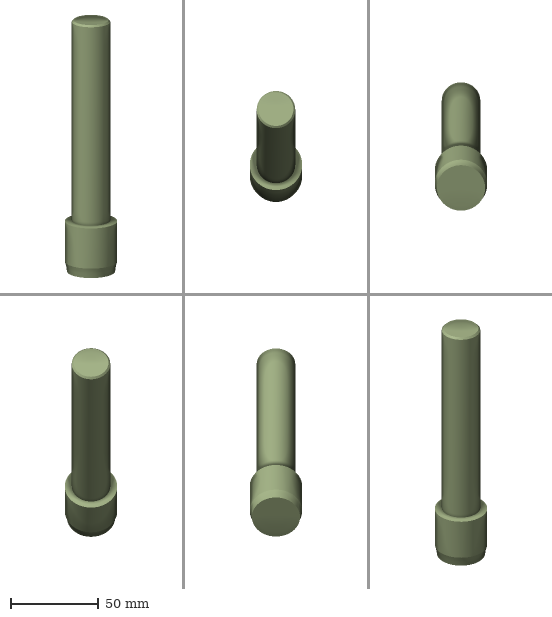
import cadquery as cq

TOTAL_HEIGHT = 150.0

COLLAR_RADIUS = 15.0
COLLAR_FOOT_RADIUS = 13.8
COLLAR_FOOT_HEIGHT = 6.0
COLLAR_FOOT_SAG = 0.22
COLLAR_SHOULDER_HEIGHT = 30.0
CROWN_RISE = 0.5
COLLAR_HEIGHT = COLLAR_SHOULDER_HEIGHT + CROWN_RISE

POST_DIAMETER = 22.0
POST_RADIUS = POST_DIAMETER / 2
POST_TOP_CHAMFER = 1.0
PLUG_RADIUS = 12.5
PLUG_HEIGHT = 29.7


def make_post():
    """Round post with a chamfered top and a thicker plug at its lower end."""
    plug = cq.Workplane("XY").circle(PLUG_RADIUS).extrude(PLUG_HEIGHT)
    shaft = (
        cq.Workplane("XY")
        .circle(POST_RADIUS)
        .extrude(TOTAL_HEIGHT)
        .faces(">Z")
        .chamfer(POST_TOP_CHAMFER)
    )
    return plug.union(shaft)


def make_collar(post):
    """Collar with a hollow-flanked tapered foot and a shallow conical top, bored to fit the post."""
    flank_middle_radius = (COLLAR_FOOT_RADIUS + COLLAR_RADIUS) / 2 - COLLAR_FOOT_SAG
    blank = (
        cq.Workplane("YZ")
        .lineTo(-COLLAR_FOOT_RADIUS, 0)
        .threePointArc(
            (-flank_middle_radius, COLLAR_FOOT_HEIGHT / 2),
            (-COLLAR_RADIUS, COLLAR_FOOT_HEIGHT),
        )
        .lineTo(-COLLAR_RADIUS, COLLAR_SHOULDER_HEIGHT)
        .lineTo(-POST_RADIUS, COLLAR_HEIGHT)
        .lineTo(0, COLLAR_HEIGHT)
        .close()
        .revolve(360, (0, 0, 0), (0, 1, 0))
    )
    return blank.cut(post)


post = make_post()
collar = make_collar(post)

result = cq.Compound.makeCompound([collar.val(), post.val()])